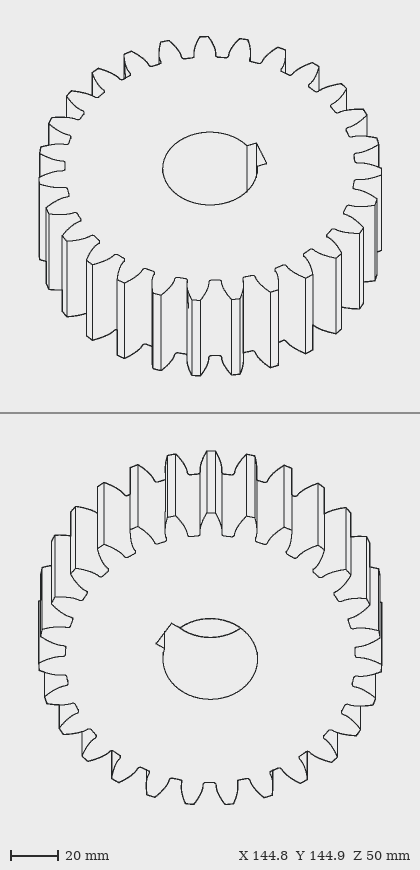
import cadquery as cq
import math

tooth_count = 27
face_width = 50.0
module = face_width / 10
pressure_angle = math.radians(20)
root_fillet = 1.2

bore_diameter = 40.0
keyway_width = 12.0
keyway_top = 23.3

flank_points = 6

addendum = module
dedendum = 1.25 * module
pitch_radius = module * tooth_count / 2
base_radius = pitch_radius * math.cos(pressure_angle)
tip_radius = pitch_radius + addendum
root_radius = pitch_radius - dedendum
tooth_pitch = 2 * math.pi / tooth_count


def polar(radius, angle):
    return (radius * math.cos(angle), radius * math.sin(angle))


def involute(angle):
    return math.tan(angle) - angle


first_tooth_angle = involute(pressure_angle)


def tooth_half_angle(radius):
    """Half the angle a tooth spans at a radius on its involute flank."""
    local_pressure_angle = math.acos(min(1.0, base_radius / radius))
    return tooth_pitch / 4 + involute(pressure_angle) - involute(local_pressure_angle)


def make_tooth_gap():
    """Space between two teeth, centred on +X: involute flanks, radial below the base circle."""
    step = (tip_radius - base_radius) / (flank_points - 1)
    radii = [base_radius + i * step for i in range(flank_points)]
    half_gaps = [tooth_pitch / 2 - tooth_half_angle(r) for r in radii]
    right_flank = [polar(r, -g) for r, g in zip(radii, half_gaps)]
    left_flank = [polar(r, g) for r, g in zip(radii, half_gaps)]
    root_half_gap = half_gaps[0]
    tip_half_gap = half_gaps[-1]
    clear_radius = tip_radius + module
    cutter = (
        cq.Workplane("XY")
        .moveTo(*polar(root_radius, -root_half_gap))
        .lineTo(*right_flank[0])
        .spline(right_flank[1:], includeCurrent=True)
        .lineTo(*polar(clear_radius, -tip_half_gap))
        .lineTo(*polar(clear_radius, tip_half_gap))
        .lineTo(*left_flank[-1])
        .spline(left_flank[-2::-1], includeCurrent=True)
        .lineTo(*polar(root_radius, root_half_gap))
        .threePointArc((root_radius, 0), polar(root_radius, -root_half_gap))
        .close()
        .extrude(face_width)
    )
    root_corners = cq.selectors.BoxSelector(
        (0, -module, 0),
        (base_radius - root_fillet / 2, module, face_width),
    )
    return cutter.edges("|Z").edges(root_corners).fillet(root_fillet)


def make_bore():
    bore = cq.Workplane("XY").circle(bore_diameter / 2).extrude(face_width)
    keyway = cq.Workplane("XY").box(
        keyway_width,
        keyway_top,
        face_width,
        centered=(True, False, False),
    )
    return bore.union(keyway)


gear = cq.Workplane("XY").circle(tip_radius).extrude(face_width)
tooth_gap = make_tooth_gap()
for i in range(tooth_count):
    gap_angle = first_tooth_angle + (i + 0.5) * tooth_pitch
    gear = gear.cut(tooth_gap.rotate((0, 0, 0), (0, 0, 1), math.degrees(gap_angle)))
result = gear.cut(make_bore())